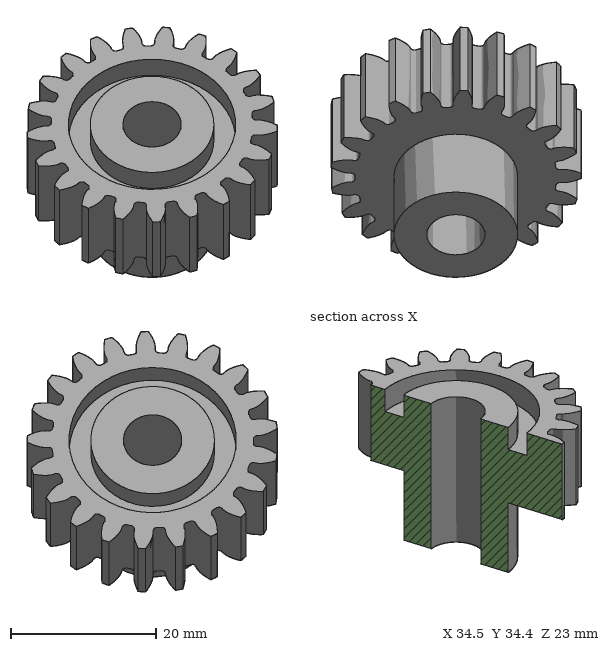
import cadquery as cq
import math


tooth_count = 21
module = 1.5
pressure_angle = math.radians(20)
dedendum_factor = 1.25
root_fillet_factor = 0.38
pitch_radius = module * tooth_count / 2
base_radius = pitch_radius * math.cos(pressure_angle)
tip_radius = pitch_radius + module
root_radius = pitch_radius - dedendum_factor * module
root_fillet = root_fillet_factor * module
tooth_pitch_angle = 360 / tooth_count

gear_width = 12.0
hub_length = 11.0
hub_diameter = 17.0
bore_diameter = 8.0
recess_diameter = 23.0
recess_depth = 3.5
total_height = hub_length + gear_width

flank_point_count = 8
cutter_overshoot = 0.5
cutter_radius = tip_radius + cutter_overshoot


def involute(angle):
    """Polar angle an involute has swept where its pressure angle is the given one."""
    return math.tan(angle) - angle


def gap_half_angle(radius):
    """Half the angle, at the gear axis, of the gap between two teeth at a radius.

    Below the base circle the flanks are radial, so the angle stays constant.
    """
    flank_angle = math.acos(min(1.0, base_radius / radius))
    pitch_half_angle = math.pi / (2 * tooth_count)
    return pitch_half_angle + involute(flank_angle) - involute(pressure_angle)


def gap_point(radius, side):
    """Point on one flank of the gap centred on +Y: side -1 is left, +1 is right."""
    half_angle = gap_half_angle(radius)
    return (side * radius * math.sin(half_angle), radius * math.cos(half_angle))


def flank(side):
    """Involute points from the base circle out to just beyond the tooth tips."""
    step = (cutter_radius - base_radius) / (flank_point_count - 1)
    return [gap_point(base_radius + i * step, side) for i in range(flank_point_count)]


def make_gap_cutter():
    """Prism filling one tooth gap: involute flanks, radial below the base circle."""
    left_flank = flank(-1)
    right_flank = flank(1)
    prism = (
        cq.Workplane("XY")
        .workplane(offset=hub_length)
        .moveTo(*gap_point(root_radius, -1))
        .lineTo(*left_flank[0])
        .spline(left_flank[1:], includeCurrent=True)
        .lineTo(*right_flank[-1])
        .spline(right_flank[-2::-1], includeCurrent=True)
        .lineTo(*gap_point(root_radius, 1))
        .threePointArc((0, root_radius), gap_point(root_radius, -1))
        .close()
        .extrude(gear_width)
    )
    return prism.edges("|Z").edges("<Y").fillet(root_fillet)


def make_gear():
    """Toothed disc with one gap centred on +Y."""
    gear = cq.Workplane("XY").workplane(offset=hub_length).circle(tip_radius).extrude(gear_width)
    gap = make_gap_cutter()
    for i in range(tooth_count):
        gear = gear.cut(gap.rotate((0, 0, 0), (0, 0, 1), i * tooth_pitch_angle))
    return gear


def make_hub():
    """Cylinder running from the bottom of the part to the top face of the gear."""
    return cq.Workplane("XY").circle(hub_diameter / 2).extrude(total_height)


def make_recess():
    """Ring between the hub and the toothed rim, open at the top face."""
    return (
        cq.Workplane("XY")
        .workplane(offset=total_height - recess_depth)
        .circle(recess_diameter / 2)
        .circle(hub_diameter / 2)
        .extrude(recess_depth)
    )


def make_bore():
    """Through hole along the axis."""
    return cq.Workplane("XY").circle(bore_diameter / 2).extrude(total_height)


result = make_gear().union(make_hub()).cut(make_recess()).cut(make_bore())